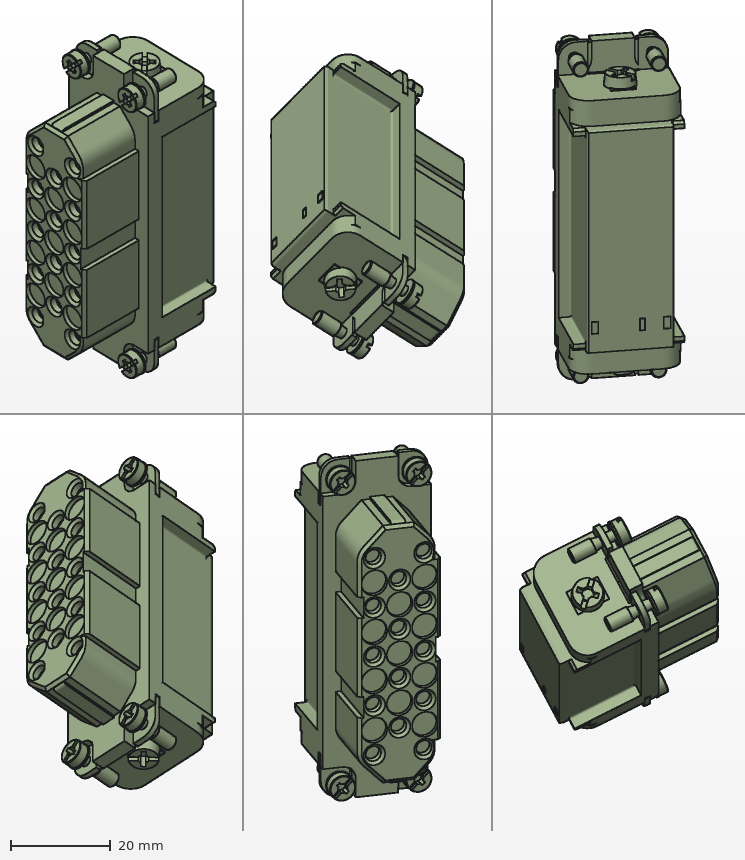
import cadquery as cq
import math


width = 22.8
height = 72.8
half_width = width / 2
half_height = height / 2

housing_half_height = 29.5
housing_rear = 18.05
housing_corner_radius = 4.1
shoulder_top = 26.85
shoulder_side_depth = 15.3
shoulder_tip_depth = 16.0
shoulder_tip_inset = 0.6

block_half_width = 8.9
block_half_height = 23.95
block_rear = 21.05
block_edge_depth = 0.7
block_edge_inset = 0.2
rail_rear = 19.0
rail_chamfer = 0.6
panel_half_height = 22.4
panel_front = 3.9
panel_fillet = 0.45

mark_height = 0.15
mark_length = 2.55
mark_z = -18.35
marks = [(-7.4, 1.45), (-2.3, 1.0), (7.4, 1.3)]

tab_half_width = 4.45
ear_front = 1.8
ear_rear = 3.05
ear_inner_x = 5.2
ear_side_inset = 0.15
ear_bottom = 26.9
ear_corner_radius = 3.5
ear_bottom_radius = 1.2
pocket_radius = 2.9
web_thickness = 0.15
web_top = 36.1
tab_pad_rear = 3.5
tab_pad_height = 0.15

screw_x = 8.0
screw_z = 33.05
washer_diameter = 5.5
washer_thickness = 0.45
head_diameter = 5.4
head_front = -2.6
head_chamfer = 0.15
neck_diameter = 2.3
neck_end = 3.5
collar_diameter = 2.85
thread_diameter = 3.2
thread_start = 4.8
thread_end = 9.8
thread_chamfer = 0.2
drive_slot_width = 0.8
drive_slot_depth = 0.95
drive_cross_length = 2.8
drive_cross_floor = 2.0
drive_cross_depth = 1.75

terminal_y = 10.1
terminal_base_diameter = 6.7
terminal_top_diameter = 6.1
terminal_top = 32.0
terminal_pad_width = 5.2
terminal_pad_depth = 7.05
terminal_pad_height = 0.2
terminal_slot_width = 1.0
terminal_slot_depth = 1.1
terminal_cross_length = 4.5
terminal_cross_floor = 2.3
terminal_cross_depth = 1.75

plug_front = -15.3
plug_left = -8.7
plug_right = 7.65
plug_half_height = 27.8
plug_flat_half_width = 3.3
plug_slope_angle = 45
plug_radius = 4.5
plug_chamfer = 0.7
key_right = 8.7
key_inner_z = 2.6
key_outer_z = 19.5
groove_floor_x = -7.6
groove_inner_z = 8.5
groove_outer_z = 13.0
rib_half_width = 1.5
rib_half_height = 28.3
rib_front = -14.55
rib_toe_radius = 0.95

contact_pitch = 5.3
contact_outer_row = 4
contact_mouth_diameter = 4.5
contact_bore_diameter = 3.2
contact_mouth_depth = 0.65
contact_depth = 2.2
blank_diameter = 5.4
blank_depth = 1.0


def block(x0, x1, y0, y1, z0, z1):
    """Box between the given limits."""
    return cq.Workplane("XY").box(x1 - x0, y1 - y0, z1 - z0, centered=False).translate((x0, y0, z0))


def profile_xz(y):
    """Workplane at the given depth; local axes are X and Z, extruding towards +Y for negative lengths."""
    return cq.Workplane("XZ", origin=(0, y, 0))


def mirrored_z(shape):
    """The shape together with its mirror image in the XY plane."""
    return shape.union(shape.mirror("XY"))


def mirrored_x(shape):
    """The shape together with its mirror image in the YZ plane."""
    return shape.union(shape.mirror("YZ"))


def make_housing():
    """Wiring-side body with rounded rear corners, central block, rails and recessed side panels."""
    housing = block(-half_width, half_width, 0, housing_rear, -housing_half_height, housing_half_height)
    housing = housing.edges("|Z and >Y").fillet(housing_corner_radius)

    shoulder = (
        cq.Workplane("XY", origin=(0, 0, block_half_height))
        .moveTo(block_half_width, ear_rear)
        .lineTo(half_width, ear_rear)
        .lineTo(half_width, shoulder_side_depth)
        .lineTo(half_width - shoulder_tip_inset, shoulder_tip_depth)
        .lineTo(block_half_width, shoulder_tip_depth)
        .close()
        .extrude(shoulder_top - block_half_height)
    )
    housing = housing.union(mirrored_z(mirrored_x(shoulder)))

    rails = block(-half_width, half_width, ear_rear, rail_rear, -block_half_height, block_half_height)
    rails = rails.faces(">Y").edges("|X").chamfer(rail_chamfer)
    housing = housing.union(rails)

    panel = block(block_half_width, width, panel_front, block_rear, -panel_half_height, panel_half_height)
    panel = panel.faces("<X").edges("|Y or (|Z and <Y)").fillet(panel_fillet)
    housing = housing.cut(mirrored_x(panel))

    rim_front = block_rear - block_edge_depth
    core = block(
        -block_half_width, block_half_width, ear_rear, rim_front, -block_half_height, block_half_height
    )
    rim_angle = math.degrees(math.atan2(block_edge_inset, block_edge_depth))
    rim = (
        profile_xz(rim_front)
        .rect(2 * block_half_width, 2 * block_half_height)
        .extrude(-block_edge_depth, taper=rim_angle)
    )
    return housing.union(core).union(rim)


def make_marks():
    """Small raised marks on the rear face."""
    pads = cq.Workplane("XY")
    for x, mark_width in marks:
        pads = pads.union(
            block(
                x - mark_width / 2,
                x + mark_width / 2,
                block_rear - mark_height,
                block_rear + mark_height,
                mark_z - mark_length / 2,
                mark_z + mark_length / 2,
            )
        )
    return pads


def add_flange(body):
    """Centre tabs and thin corner ears, the ears seated in slots in the housing sides."""
    flare_start = tab_half_width + pocket_radius
    tab = (
        profile_xz(0)
        .moveTo(-tab_half_width, housing_half_height)
        .lineTo(-tab_half_width, half_height)
        .lineTo(tab_half_width, half_height)
        .lineTo(tab_half_width, housing_half_height + pocket_radius)
        .radiusArc((flare_start, housing_half_height), -pocket_radius)
        .lineTo(-flare_start, housing_half_height)
        .radiusArc((-tab_half_width, housing_half_height + pocket_radius), -pocket_radius)
        .close()
        .extrude(-ear_rear)
    )
    pad = block(
        -ear_inner_x, ear_inner_x, ear_front, tab_pad_rear,
        housing_half_height, housing_half_height + tab_pad_height,
    )
    slot = block(ear_inner_x, width, ear_front, ear_rear, ear_bottom, housing_half_height)
    web = block(tab_half_width, ear_inner_x, ear_rear - web_thickness, ear_rear, housing_half_height, web_top)
    ear = block(ear_inner_x, half_width - ear_side_inset, ear_front, ear_rear, ear_bottom, half_height)
    ear = ear.edges("|Y and >X and >Z").fillet(ear_corner_radius)
    ear = ear.edges("|X and <Y and <Z").fillet(ear_bottom_radius)
    body = body.cut(mirrored_z(mirrored_x(slot)))
    return body.union(mirrored_z(tab.union(pad))).union(mirrored_z(mirrored_x(ear.union(web))))


def make_drive(slot_width, slot_length, slot_depth, cross_length, cross_floor, cross_depth):
    """Cutter for a diagonal slot with a cross recess whose arms slope down to the middle, sunk from Z = 0."""
    cutter = block(-slot_length, slot_length, -slot_width / 2, slot_width / 2, -slot_depth, 0)
    arm = (
        cq.Workplane("XZ", origin=(0, slot_width / 2, 0))
        .moveTo(-cross_length / 2, 0)
        .lineTo(cross_length / 2, 0)
        .lineTo(cross_floor / 2, -cross_depth)
        .lineTo(-cross_floor / 2, -cross_depth)
        .close()
        .extrude(slot_width)
    )
    core = cq.Workplane("XY").circle(cross_floor / 2).extrude(-cross_depth)
    cutter = cutter.union(core).union(arm).union(arm.rotate((0, 0, 0), (0, 0, 1), 90))
    return cutter.rotate((0, 0, 0), (0, 0, 1), 45)


def make_mounting_screw():
    """Captive screw along Y with washer, slotted cross-recess head, neck and thread."""
    profile = [
        (0, head_front),
        (head_diameter / 2 - head_chamfer, head_front),
        (head_diameter / 2, head_front + head_chamfer),
        (head_diameter / 2, -washer_thickness),
        (washer_diameter / 2, -washer_thickness),
        (washer_diameter / 2, 0),
        (neck_diameter / 2, 0),
        (neck_diameter / 2, neck_end),
        (collar_diameter / 2, thread_start),
        (thread_diameter / 2, thread_start),
        (thread_diameter / 2, thread_end - thread_chamfer),
        (thread_diameter / 2 - thread_chamfer, thread_end),
        (0, thread_end),
    ]
    screw = cq.Workplane("XY").polyline(profile).close().revolve(360, (0, 0, 0), (0, 1, 0))
    drive = make_drive(
        drive_slot_width, head_diameter, drive_slot_depth,
        drive_cross_length, drive_cross_floor, drive_cross_depth,
    )
    drive = drive.rotate((0, 0, 0), (1, 0, 0), 90).translate((0, head_front, 0))
    return screw.cut(drive)


def make_terminal_screw():
    """Earth screw standing on its rectangular pad at the +Z end of the housing."""
    pad = block(
        -terminal_pad_width / 2,
        terminal_pad_width / 2,
        terminal_y - terminal_pad_depth / 2,
        terminal_y + terminal_pad_depth / 2,
        housing_half_height,
        housing_half_height + terminal_pad_height,
    )
    base = cq.Workplane("XY", origin=(0, terminal_y, housing_half_height))
    head = (
        base.circle(terminal_base_diameter / 2)
        .workplane(offset=terminal_top - housing_half_height)
        .circle(terminal_top_diameter / 2)
        .loft()
    )
    drive = make_drive(
        terminal_slot_width, terminal_base_diameter, terminal_slot_depth,
        terminal_cross_length, terminal_cross_floor, terminal_cross_depth,
    )
    drive = drive.rotate((0, 0, 0), (0, 0, 1), -90).translate((0, terminal_y, terminal_top))
    return pad.union(head.cut(drive))


def plug_corner(side_x):
    """End points (X, Z) of the rounded corner joining a plug side to its 45 degree slope, for +Z."""
    side = math.copysign(1, side_x)
    tangent = plug_radius * math.tan(math.radians(plug_slope_angle / 2))
    corner_z = plug_half_height - (abs(side_x) - plug_flat_half_width)
    step = tangent * math.sin(math.radians(plug_slope_angle))
    return (side_x, corner_z - tangent), (side_x - side * step, corner_z + step)


def make_plug():
    """Mating body: sloped-end outline, chamfered front, side keys, grooves and end ribs."""
    left_side, left_slope = plug_corner(plug_left)
    right_side, right_slope = plug_corner(plug_right)
    plug = (
        profile_xz(0)
        .moveTo(left_side[0], -left_side[1])
        .lineTo(*left_side)
        .radiusArc(left_slope, plug_radius)
        .lineTo(-plug_flat_half_width, plug_half_height)
        .lineTo(plug_flat_half_width, plug_half_height)
        .lineTo(*right_slope)
        .radiusArc(right_side, plug_radius)
        .lineTo(right_side[0], -right_side[1])
        .radiusArc((right_slope[0], -right_slope[1]), plug_radius)
        .lineTo(plug_flat_half_width, -plug_half_height)
        .lineTo(-plug_flat_half_width, -plug_half_height)
        .lineTo(left_slope[0], -left_slope[1])
        .radiusArc((left_side[0], -left_side[1]), plug_radius)
        .close()
        .extrude(-plug_front)
    )
    plug = plug.faces("<Y").chamfer(plug_chamfer)

    strip = block(plug_right - 2 * plug_chamfer, plug_right, plug_front, 0, -key_outer_z, key_outer_z)
    key = block(plug_right - plug_chamfer, key_right, plug_front, 0, key_inner_z, key_outer_z)
    key = key.edges("<Y and >X").chamfer(plug_chamfer)
    plug = plug.union(strip).union(mirrored_z(key))

    groove = block(plug_left, groove_floor_x, plug_front, 0, groove_inner_z, groove_outer_z)
    plug = plug.cut(mirrored_z(groove))

    rib_base = rib_half_height - 2 * rib_toe_radius
    rib = block(-rib_half_width, rib_half_width, rib_front, 0, rib_base, rib_half_height)
    rib = rib.edges("<Y and >Z").fillet(rib_toe_radius)
    return plug.union(mirrored_z(rib))


def cut_contacts(body):
    """Checkerboard of flared contact bores and shallow blank positions over three columns."""
    bore_points = []
    blank_points = []
    for column in (-1, 0, 1):
        for row in range(-contact_outer_row, contact_outer_row + 1):
            point = (column * contact_pitch, row * contact_pitch)
            if (row + column) % 2 == 1:
                bore_points.append(point)
            elif abs(row) < contact_outer_row:
                blank_points.append(point)

    bore_profile = [
        (0, plug_front),
        (contact_mouth_diameter / 2, plug_front),
        (contact_bore_diameter / 2, plug_front + contact_mouth_depth),
        (contact_bore_diameter / 2, plug_front + contact_depth),
        (0, plug_front + contact_depth),
    ]
    bore = cq.Workplane("XY").polyline(bore_profile).close().revolve(360, (0, 0, 0), (0, 1, 0))
    for x, z in bore_points:
        body = body.cut(bore.translate((x, 0, z)))
    blanks = profile_xz(plug_front).pushPoints(blank_points).circle(blank_diameter / 2).extrude(-blank_depth)
    return body.cut(blanks)


body = add_flange(make_housing())
body = body.union(cut_contacts(make_plug()))
body = body.union(make_marks())

mounting_screw = make_mounting_screw()
for x in (-screw_x, screw_x):
    for z in (-screw_z, screw_z):
        body = body.union(mounting_screw.translate((x, 0, z)))

terminal_screw = make_terminal_screw()
for angle in (0, 180):
    body = body.union(terminal_screw.rotate((0, 0, 0), (0, 1, 0), angle))

result = body